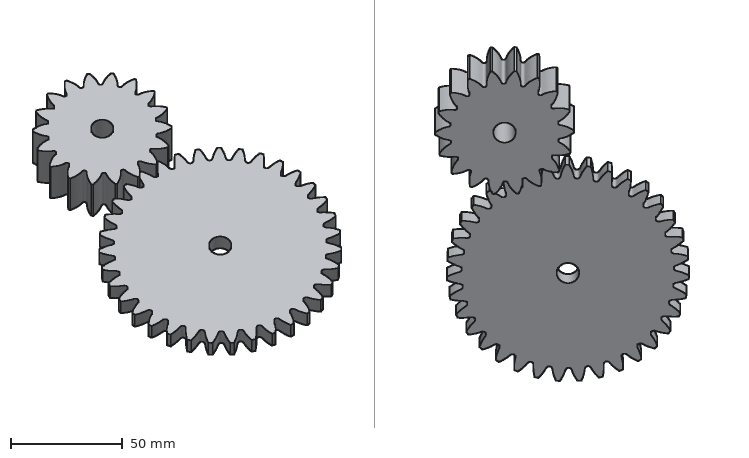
import cadquery as cq
import math

overall_length = 164.5
pinion_teeth = 18
wheel_teeth = 35
pinion_width = 24.0
wheel_width = 9.0
bore_diameter = 10.0

pressure_angle = math.radians(25)
addendum = 1
dedendum = 1.25
profile_shift = 0.4
flank_clearance = 0.005

rack_half_thickness = math.pi / 4 + flank_clearance
rack_tip_half_width = rack_half_thickness - dedendum * math.tan(pressure_angle)
root_rounding = rack_tip_half_width * math.cos(pressure_angle) / (1 - math.sin(pressure_angle))

flank_spans = 8
fillet_spans = 5


def involute(angle):
    """Involute function of a pressure angle in radians."""
    return math.tan(angle) - angle


def polar(radius, angle):
    """Cartesian coordinates of a polar position."""
    return (radius * math.cos(angle), radius * math.sin(angle))


def tip_radius(teeth, shift):
    """Tip circle radius in modules."""
    return teeth / 2 + addendum + shift


def half_gap_angle(teeth, shift, radius):
    """Angle from the middle of a tooth gap to its involute flank, at a radius in modules."""
    base_radius = teeth / 2 * math.cos(pressure_angle)
    half_gap_at_pitch = rack_half_thickness - shift * math.tan(pressure_angle)
    pitch_angle = half_gap_at_pitch / (teeth / 2)
    return pitch_angle - involute(pressure_angle) + involute(math.acos(base_radius / radius))


def outer_reach(teeth, shift):
    """Distance in modules from a gear axis to the tooth tips on both sides of a gap that faces outwards."""
    radius = tip_radius(teeth, shift)
    return radius * math.cos(half_gap_angle(teeth, shift, radius))


centre_distance_in_modules = (pinion_teeth + wheel_teeth) / 2
length_in_modules = (
    outer_reach(pinion_teeth, profile_shift)
    + centre_distance_in_modules
    + outer_reach(wheel_teeth, -profile_shift)
)
module = overall_length / length_in_modules
centre_distance = centre_distance_in_modules * module


def fillet_curve(teeth, shift):
    """Root fillet cut by the round rack tip: (radius, angle from gap middle) from root to flank."""
    rounding_depth = dedendum - root_rounding - shift
    pitch_radius = teeth / 2
    curve = []
    for span in range(fillet_spans + 1):
        tilt = (math.pi / 2 - pressure_angle) * span / fillet_spans
        rack_travel = rounding_depth * math.tan(tilt)
        across = rack_travel + root_rounding * math.sin(tilt)
        height = pitch_radius - rounding_depth - root_rounding * math.cos(tilt)
        angle = math.atan2(across, height) - rack_travel / pitch_radius
        curve.append((math.hypot(across, height), angle))
    return curve


def flank_curve(teeth, shift, start_radius):
    """Involute flank: (radius, angle from gap middle) from start_radius to the tooth tip."""
    rise = tip_radius(teeth, shift) - start_radius
    radii = [start_radius + rise * span / flank_spans for span in range(flank_spans + 1)]
    return [(radius, half_gap_angle(teeth, shift, radius)) for radius in radii]


def gear(teeth, shift, width, first_gap_angle):
    """Bored spur gear about the Z axis, centred on Z = 0, with a tooth gap at first_gap_angle."""
    tooth_pitch = 2 * math.pi / teeth
    fillet = fillet_curve(teeth, shift)
    fillet_end_radius = fillet[-1][0]
    gap_side = fillet + flank_curve(teeth, shift, fillet_end_radius)[1:]
    gap_side = [(radius * module, angle) for radius, angle in gap_side]
    outer_radius, tip_angle = gap_side[-1]

    outline = cq.Workplane("XY").moveTo(*polar(outer_radius, first_gap_angle - tip_angle))
    for index in range(teeth):
        gap_angle = first_gap_angle + index * tooth_pitch
        going_in = [polar(radius, gap_angle - angle) for radius, angle in reversed(gap_side)]
        going_out = [polar(radius, gap_angle + angle) for radius, angle in gap_side]
        tooth_tip = polar(outer_radius, gap_angle + tooth_pitch / 2)
        next_gap_start = polar(outer_radius, gap_angle + tooth_pitch - tip_angle)
        outline = outline.spline(going_in[1:] + going_out[1:], includeCurrent=True)
        outline = outline.threePointArc(tooth_tip, next_gap_start)

    blank = outline.close().extrude(width)
    bore = cq.Workplane("XY").circle(bore_diameter / 2).extrude(width)
    return blank.cut(bore).translate((0, 0, -width / 2))


pinion = gear(pinion_teeth, profile_shift, pinion_width, 0)
wheel_gap_angle = math.pi + math.pi / wheel_teeth
wheel = gear(wheel_teeth, -profile_shift, wheel_width, wheel_gap_angle)
wheel = wheel.translate((centre_distance, 0, 0))

result = cq.Compound.makeCompound([pinion.val(), wheel.val()])